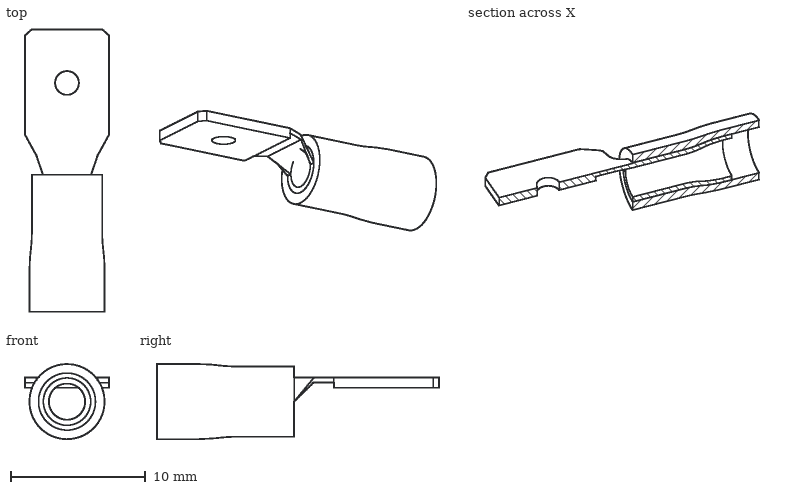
import cadquery as cq
import math


sleeve_length = 10.2
mouth_radius = 2.8
crimp_radius = 2.62

flare_start = 3.1
cone_start = 4.4
cone_end = 4.65
flare_end = 5.97

barrel_start_y = 2.2
barrel_entry_radius = 2.12
barrel_entry_bore_radius = 1.76
barrel_radius = 1.8
barrel_bore_radius = 1.34
tip_y = 20.98
tab_width = 6.25
tab_thickness = 0.78
sheet_thickness = tab_thickness / 2
tab_top = barrel_radius
fold_y = 13.15
strip_end_y = 11.65
strip_width = 4.6
crease_rise = 0.25
corner_drop = 0.05
tip_chamfer_x = 0.5
tip_chamfer_y = 0.45
hole_diameter = 1.75
hole_y = 17.0


def make_stepped_core(entry_radius, narrow_radius, start_y):
    """Round core from start_y to the sleeve end that tapers from entry_radius to narrow_radius."""
    entry_arc_length = cone_start - flare_start
    narrow_arc_length = flare_end - cone_end
    cone_length = cone_end - cone_start
    equivalent_length = cone_length + (entry_arc_length + narrow_arc_length) / 2
    cone_slope = (entry_radius - narrow_radius) / equivalent_length
    cone_start_radius = entry_radius - cone_slope * entry_arc_length / 2
    cone_end_radius = cone_start_radius - cone_slope * cone_length
    return (
        cq.Workplane("XY")
        .moveTo(0, start_y)
        .lineTo(entry_radius, start_y)
        .lineTo(entry_radius, flare_start)
        .tangentArcPoint((cone_start_radius, cone_start), relative=False)
        .lineTo(cone_end_radius, cone_end)
        .tangentArcPoint((narrow_radius, flare_end), relative=False)
        .lineTo(narrow_radius, sleeve_length)
        .lineTo(0, sleeve_length)
        .close()
        .revolve(360, (0, 0, 0), (0, 1, 0))
    )


def make_sleeve():
    bore = make_stepped_core(barrel_entry_radius, barrel_radius, 0)
    return make_stepped_core(mouth_radius, crimp_radius, 0).cut(bore)


def make_barrel():
    """Crimp tube that fills the sleeve bore and is belled at the wire end."""
    bore = make_stepped_core(barrel_entry_bore_radius, barrel_bore_radius, barrel_start_y)
    return make_stepped_core(barrel_entry_radius, barrel_radius, barrel_start_y).cut(bore)


def make_neck():
    """Upper half of the barrel wall, opening out into the flat strip.

    The +X half is enclosed by ruled faces between a quarter ring at the barrel and
    a four-sided section at the strip, then mirrored.
    """

    def quarter_arc(radius):
        middle = radius * math.sqrt(0.5)
        return cq.Edge.makeThreePointArc(
            cq.Vector(0, sleeve_length, radius),
            cq.Vector(middle, sleeve_length, middle),
            cq.Vector(radius, sleeve_length, 0),
        )

    def strip_edge(center_z, corner_z):
        return cq.Edge.makeLine(
            cq.Vector(0, strip_end_y, center_z),
            cq.Vector(strip_width / 2, strip_end_y, corner_z),
        )

    def joining_line(first_edge, second_edge, at):
        return cq.Edge.makeLine(first_edge.positionAt(at), second_edge.positionAt(at))

    outer_arc = quarter_arc(barrel_radius)
    inner_arc = quarter_arc(barrel_bore_radius)
    top_edge = strip_edge(tab_top, tab_top - corner_drop)
    bottom_edge = strip_edge(tab_top - sheet_thickness, tab_top - sheet_thickness)
    edge_pairs = [
        (outer_arc, top_edge),
        (inner_arc, bottom_edge),
        (outer_arc, inner_arc),
        (top_edge, bottom_edge),
    ]
    for at in (0, 1):
        barrel_wall_line = joining_line(outer_arc, inner_arc, at)
        strip_wall_line = joining_line(top_edge, bottom_edge, at)
        edge_pairs.append((barrel_wall_line, strip_wall_line))
    faces = [cq.Face.makeRuledSurface(first, second) for first, second in edge_pairs]
    half = cq.Workplane(cq.Solid.makeSolid(cq.Shell.makeShell(faces)))
    return half.union(half.mirror("YZ"))


def make_corner_bevel():
    """Thin tetrahedron over the +X corner of the strip, where the sheet starts to bend down."""
    side_slope = (tab_width - strip_width) / 2 / (fold_y - strip_end_y)
    center = cq.Vector(0, strip_end_y, tab_top)
    crease_end_x = strip_width / 2 + side_slope * crease_rise
    crease_end = cq.Vector(crease_end_x, strip_end_y + crease_rise, tab_top)
    corner = cq.Vector(strip_width / 2, strip_end_y, tab_top)
    dropped_corner = corner - cq.Vector(0, 0, corner_drop)
    triangles = [
        (center, crease_end, corner),
        (center, crease_end, dropped_corner),
        (center, corner, dropped_corner),
        (crease_end, corner, dropped_corner),
    ]
    outlines = [cq.Wire.makePolygon(triangle, close=True) for triangle in triangles]
    faces = [cq.Face.makeFromWires(outline) for outline in outlines]
    return cq.Workplane(cq.Solid.makeSolid(cq.Shell.makeShell(faces)))


def make_tab():
    half_width = tab_width / 2
    blade = (
        cq.Workplane("XY", origin=(0, 0, tab_top))
        .moveTo(-half_width, fold_y)
        .lineTo(-half_width, tip_y - tip_chamfer_y)
        .lineTo(-half_width + tip_chamfer_x, tip_y)
        .lineTo(half_width - tip_chamfer_x, tip_y)
        .lineTo(half_width, tip_y - tip_chamfer_y)
        .lineTo(half_width, fold_y)
        .close()
        .extrude(-tab_thickness)
    )
    strip = (
        cq.Workplane("XY", origin=(0, 0, tab_top))
        .moveTo(-strip_width / 2, strip_end_y)
        .lineTo(-half_width, fold_y)
        .lineTo(half_width, fold_y)
        .lineTo(strip_width / 2, strip_end_y)
        .close()
        .extrude(-sheet_thickness)
    )
    hole = (
        cq.Workplane("XY", origin=(0, hole_y, tab_top))
        .circle(hole_diameter / 2)
        .extrude(-tab_thickness)
    )
    bevel = make_corner_bevel()
    strip = strip.cut(bevel).cut(bevel.mirror("YZ"))
    return blade.union(strip).cut(hole)


sleeve = make_sleeve()
terminal = make_barrel().union(make_neck()).union(make_tab())

result = cq.Compound.makeCompound([sleeve.solids().val(), terminal.solids().val()])